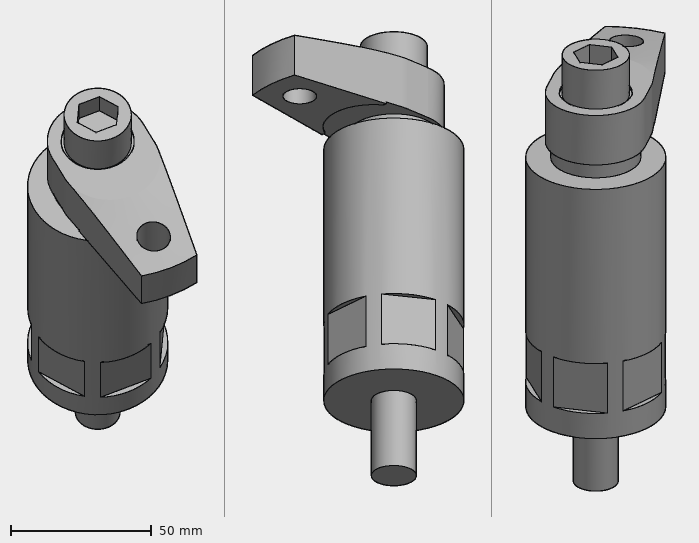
import cadquery as cq
import math

total_height = 171.0
housing_bottom = 30.0
flats_bottom = 40.0
flats_top = 60.0
housing_top = 130.0
hub_bottom = 136.1
hub_top = 156.0
arm_bottom = 135.5
arm_tip_top = 151.3

housing_radius = 25.0
collar_radius = 16.0
across_flats = 45.8
flat_count = 6

hub_radius = 18.0
hub_offset = 10.0
arm_tip_x = 59.8
arm_taper = 8.4
arm_step_x = 19.3
arm_hole_x = 45.8
arm_hole_diameter = 12.0

shank_radius = 8.0
head_radius = 12.0
head_height = 16.0
socket_across_flats = 14.0
socket_depth = 8.0
counterbore_radius = 13.0
head_seat = total_height - head_height


def cylinder(radius, bottom, top):
    return cq.Workplane("XY").workplane(offset=bottom).circle(radius).extrude(top - bottom)


def make_housing():
    body = cylinder(housing_radius, housing_bottom, housing_top)
    collar = cylinder(collar_radius, housing_top, hub_bottom)
    flats_height = flats_top - flats_bottom
    cut_depth = housing_radius - across_flats / 2
    for index in range(flat_count):
        flat = (
            cq.Workplane("XY")
            .box(cut_depth, 2 * housing_radius, flats_height, centered=(False, True, False))
            .translate((across_flats / 2, 0, flats_bottom))
            .rotate((0, 0, 0), (0, 0, 1), index * 360 / flat_count)
        )
        body = body.cut(flat)
    bore = cylinder(shank_radius, housing_bottom, hub_bottom)
    return body.union(collar).cut(bore)


def make_hub():
    return (
        cq.Workplane("XY")
        .workplane(offset=hub_bottom)
        .center(hub_offset / 2, 0)
        .slot2D(hub_offset + 2 * hub_radius, 2 * hub_radius)
        .extrude(hub_top - hub_bottom)
    )


def make_arm():
    taper = math.radians(arm_taper)
    tip_radius = arm_tip_x - hub_offset
    side_x = hub_offset + hub_radius * math.sin(taper)
    side_y = hub_radius * math.cos(taper)
    side_length = math.sqrt(tip_radius**2 - hub_radius**2)
    corner_x = side_x + side_length * math.cos(taper)
    corner_y = side_y - side_length * math.sin(taper)
    outline = (
        cq.Workplane("XY")
        .workplane(offset=arm_bottom)
        .moveTo(side_x, -side_y)
        .lineTo(corner_x, -corner_y)
        .threePointArc((arm_tip_x, 0), (corner_x, corner_y))
        .lineTo(side_x, side_y)
        .close()
        .extrude(hub_top - arm_bottom)
    )
    envelope = (
        cq.Workplane("XZ")
        .moveTo(hub_radius, arm_bottom)
        .lineTo(tip_radius, arm_bottom)
        .lineTo(tip_radius, arm_tip_top)
        .lineTo(hub_radius, hub_top)
        .close()
        .revolve(360, (0, 0, 0), (0, 1, 0))
        .translate((hub_offset, 0, 0))
    )
    step = (
        cq.Workplane("XY")
        .workplane(offset=arm_bottom)
        .rect(2 * arm_step_x, 4 * hub_radius)
        .extrude(hub_bottom - arm_bottom)
    )
    hole = cylinder(arm_hole_diameter / 2, arm_bottom, hub_top).translate((arm_hole_x, 0, 0))
    return outline.intersect(envelope).cut(step).cut(hole)


def make_lever():
    bore = cylinder(shank_radius, hub_bottom, head_seat)
    counterbore = cylinder(counterbore_radius, head_seat, hub_top)
    return make_hub().union(make_arm()).cut(bore).cut(counterbore)


def make_screw():
    shank = cylinder(shank_radius, 0, head_seat)
    head = cylinder(head_radius, head_seat, total_height)
    socket = (
        cq.Workplane("XY")
        .workplane(offset=total_height - socket_depth)
        .polygon(6, socket_across_flats / math.cos(math.pi / 6))
        .extrude(socket_depth)
        .rotate((0, 0, 0), (0, 0, 1), 30)
    )
    return shank.union(head).cut(socket)


housing = make_housing()
lever = make_lever()
screw = make_screw()
result = cq.Compound.makeCompound([body.solids().val() for body in (housing, lever, screw)])